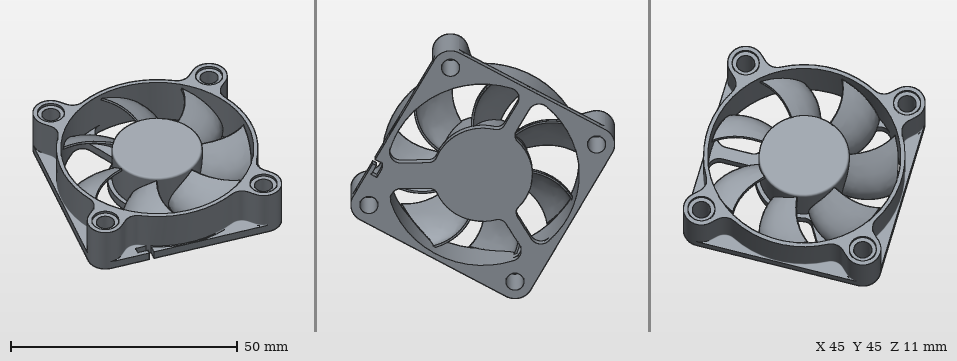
import cadquery as cq
import math

frame_size = 45.0
frame_height = 11.0
flange_height = 2.0
bore_radius = 21.35
wall_radius = 22.28
wall_foot_fillet = 0.2
boss_radius = 4.0
boss_blend_radius = 3.0
screw_hole_diameter = 4.0
counterbore_diameter = 6.0
counterbore_depth = 0.6

base_radius = 11.0
arm_half_width = 1.5
cable_arm_half_width = 3.0
arm_hub_blend = 2.0
arm_bore_blend = 2.48
arms = [(90.0, arm_half_width), (210.0, arm_half_width), (330.0, cable_arm_half_width)]

slot_inner_x = 20.1
slot_outer_x = 21.55
slot_top_y = -8.5
slot_mouth_width = 1.1
slot_length = 3.45
slot_depth = flange_height + wall_foot_fillet

hub_radius = 10.0
hub_top_fillet = 0.5
hub_bottom = flange_height
hub_top = frame_height
blade_count = 7
blade_tip_radius = 20.8
blade_bottom = 2.4
blade_top = 10.4
blade_thickness = 0.45
blade_start_angle = 82.7
blade_sweep = 11.6
blade_sweep_curve = 0.75
blade_root_wrap = 36.0
blade_tip_wrap = 29.0
blade_camber = 1.1
blade_overrun = 0.68
blade_grid_steps = 8
blade_fit_tolerance = 0.01

boss_offset = frame_size / 2 - boss_radius
boss_distance = boss_offset * math.sqrt(2)
recess_overrun = 2.25
selection_margin = 0.05


def polar(radius, angle):
    return (radius * math.cos(math.radians(angle)), radius * math.sin(math.radians(angle)))


def mirrored(point):
    return (-point[0], point[1])


def along_across(along, across, angle):
    """Point given along a ray at `angle` and across it, to its left."""
    c = math.cos(math.radians(angle))
    s = math.sin(math.radians(angle))
    return (along * c - across * s, along * s + across * c)


def side_recess():
    """Cutter that clears the +Y side above the flange, between two bosses and the round wall."""
    blend_across = boss_radius + boss_blend_radius
    blend_distance = wall_radius + boss_blend_radius
    blend_along = math.sqrt(blend_distance**2 - blend_across**2)
    touch_along = blend_along * wall_radius / blend_distance
    touch_across = blend_across * wall_radius / blend_distance
    to_wall = math.atan2(-blend_across, -blend_along)
    middle = (to_wall - math.pi / 2) / 2
    middle_along = blend_along + boss_blend_radius * math.cos(middle)
    middle_across = blend_across + boss_blend_radius * math.sin(middle)

    side = frame_size / 2
    outer_right = (boss_offset, side + recess_overrun)
    boss_end = (boss_offset, side)
    boss_dx, boss_dy = polar(boss_radius, 112.5)
    boss_middle = (boss_offset + boss_dx, boss_offset + boss_dy)
    boss_foot = along_across(boss_distance, boss_radius, 45)
    blend_start = along_across(blend_along, boss_radius, 45)
    blend_middle = along_across(middle_along, middle_across, 45)
    blend_end = along_across(touch_along, touch_across, 45)

    cutter = (
        cq.Workplane("XY").workplane(offset=flange_height)
        .moveTo(*outer_right)
        .lineTo(*boss_end)
        .threePointArc(boss_middle, boss_foot)
        .lineTo(*blend_start)
        .threePointArc(blend_middle, blend_end)
        .threePointArc((0, wall_radius), mirrored(blend_end))
        .threePointArc(mirrored(blend_middle), mirrored(blend_start))
        .lineTo(*mirrored(boss_foot))
        .threePointArc(mirrored(boss_middle), mirrored(boss_end))
        .lineTo(*mirrored(outer_right))
        .close()
        .extrude(frame_height - flange_height)
    )
    foot = cq.selectors.BoxSelector(
        (-boss_offset + selection_margin, 0, flange_height - selection_margin),
        (boss_offset - selection_margin, side + recess_overrun - selection_margin,
         flange_height + selection_margin))
    return cutter.edges(foot).fillet(wall_foot_fillet)


def cable_slot():
    """Hook-shaped cutter through the flange, kept clear of the round wall."""
    leg = cq.Workplane("XY").box(slot_outer_x - slot_inner_x, slot_length, slot_depth, centered=False)
    leg = leg.translate((slot_inner_x, slot_top_y - slot_length, 0))
    mouth_length = frame_size / 2 - slot_inner_x
    mouth = cq.Workplane("XY").box(mouth_length, slot_mouth_width, slot_depth, centered=False)
    mouth = mouth.translate((slot_inner_x, slot_top_y - slot_mouth_width, 0))
    wall = cq.Workplane("XY").circle(wall_radius).extrude(slot_depth)
    return leg.union(mouth).cut(wall)


def motor_base():
    """Disc and arms, with their corners rounded where they meet each other and the bore."""
    base = cq.Workplane("XY").circle(wall_radius).circle(bore_radius).extrude(flange_height)
    base = base.union(cq.Workplane("XY").circle(base_radius).extrude(flange_height))
    for angle, half_width in arms:
        reach = (bore_radius + wall_radius) / 2
        arm = cq.Workplane("XY").box(reach, 2 * half_width, flange_height, centered=(False, True, False))
        base = base.union(arm.rotate((0, 0, 0), (0, 0, 1), angle))
    for angle, half_width in arms:
        for radius, blend in ((base_radius, arm_hub_blend), (bore_radius, arm_bore_blend)):
            along = math.sqrt(radius**2 - half_width**2)
            for across in (-half_width, half_width):
                x, y = along_across(along, across, angle)
                corner = cq.selectors.NearestToPointSelector((x, y, flange_height / 2))
                base = base.edges("|Z").edges(corner).fillet(blend)
    return base.intersect(cq.Workplane("XY").circle(bore_radius).extrude(flange_height))


def build_frame():
    body = cq.Workplane("XY").rect(frame_size, frame_size).extrude(frame_height)
    body = body.edges("|Z").fillet(boss_radius)
    recess = side_recess()
    for angle in (0, 90, 180, 270):
        body = body.cut(recess.rotate((0, 0, 0), (0, 0, 1), angle))
    body = body.cut(cable_slot())
    body = body.cut(cq.Workplane("XY").circle(bore_radius).extrude(frame_height))
    body = body.union(motor_base())
    return (
        body.faces(">Z").workplane(origin=(0, 0, frame_height))
        .rect(2 * boss_offset, 2 * boss_offset, forConstruction=True).vertices()
        .cboreHole(screw_hole_diameter, counterbore_diameter, counterbore_depth)
    )


def blade_point(radius, drop):
    """Point on a blade; `drop` runs from 0 at its top edge to 1 at its bottom edge."""
    s = (radius - hub_radius) / (blade_tip_radius - hub_radius)
    top_angle = blade_sweep * ((1 - blade_sweep_curve) * s + blade_sweep_curve * s**2)
    wrap = blade_root_wrap + (blade_tip_wrap - blade_root_wrap) * s
    turn = drop * (1 + blade_camber * (1 - drop))
    x, y = polar(radius, blade_start_angle + top_angle - wrap * turn)
    return cq.Vector(x, y, blade_top + (blade_bottom - blade_top) * drop)


def blade():
    steps = blade_grid_steps
    inner = hub_radius - blade_overrun
    outer = blade_tip_radius + blade_overrun
    grid = [
        [blade_point(inner + (outer - inner) * i / steps, j / steps) for j in range(steps + 1)]
        for i in range(steps + 1)
    ]
    sheet = cq.Face.makeSplineApprox(grid, tol=blade_fit_tolerance)
    solid = cq.Workplane(obj=sheet.thicken(blade_thickness))
    swept = cq.Workplane("XY").circle(blade_tip_radius).extrude(frame_height)
    return solid.intersect(swept)


def build_rotor():
    hub = cq.Workplane("XY").workplane(offset=hub_bottom).circle(hub_radius).extrude(hub_top - hub_bottom)
    rotor = hub.faces(">Z").edges().fillet(hub_top_fillet)
    for i in range(blade_count):
        rotor = rotor.union(blade().rotate((0, 0, 0), (0, 0, 1), i * 360 / blade_count))
    return rotor


frame = build_frame()
rotor = build_rotor()
result = cq.Compound.makeCompound([frame.solids().val(), rotor.solids().val()])